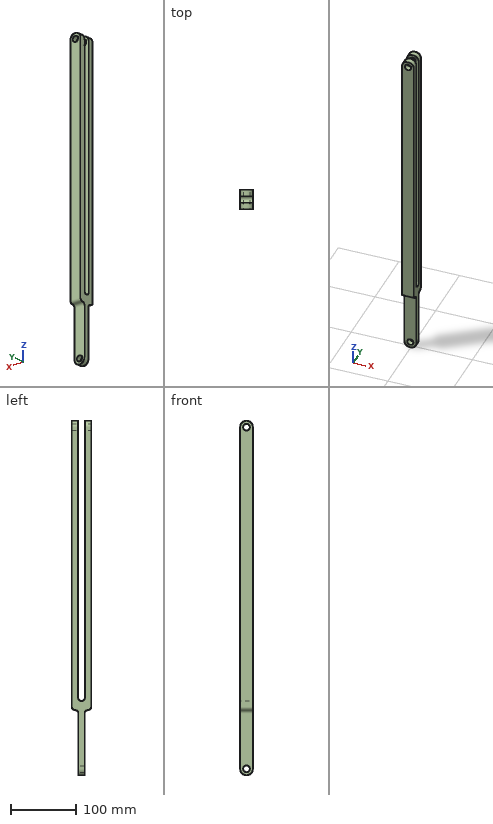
import cadquery as cq

width = 20.0
depth = 30.0
height = 544.26

tongue_thickness = 10.0
tongue_length = 100.0
slot_width = 10.0
slot_depth = 430.0
shoulder_radius = (depth - tongue_thickness) / 4

end_radius = width / 2
hole_diameter = 10.0
end_hole_heights = (end_radius, height - end_radius)


def side_profile_body():
    """Tongue widening through S-shaped shoulders into the fork body."""
    half_depth = depth / 2
    half_tongue = tongue_thickness / 2
    concave_start = tongue_length - shoulder_radius
    convex_end = tongue_length + shoulder_radius
    inflection = half_tongue + shoulder_radius
    return (
        cq.Workplane("YZ")
        .moveTo(-half_tongue, 0)
        .lineTo(half_tongue, 0)
        .lineTo(half_tongue, concave_start)
        .radiusArc((inflection, tongue_length), shoulder_radius)
        .radiusArc((half_depth, convex_end), -shoulder_radius)
        .lineTo(half_depth, height)
        .lineTo(-half_depth, height)
        .lineTo(-half_depth, convex_end)
        .radiusArc((-inflection, tongue_length), -shoulder_radius)
        .radiusArc((-half_tongue, concave_start), shoulder_radius)
        .close()
        .extrude(width / 2, both=True)
    )


def fork_slot():
    """Round-bottomed slot, open at the top, that separates the two arms."""
    half_slot = slot_width / 2
    arc_bottom = height - slot_depth
    arc_start = arc_bottom + half_slot
    return (
        cq.Workplane("YZ")
        .moveTo(-half_slot, height)
        .lineTo(-half_slot, arc_start)
        .threePointArc((0, arc_bottom), (half_slot, arc_start))
        .lineTo(half_slot, height)
        .close()
        .extrude(width / 2, both=True)
    )


def rounded_envelope():
    """Front outline with full-round ends."""
    return (
        cq.Workplane("XZ")
        .center(0, height / 2)
        .slot2D(height, width, 90)
        .extrude(depth / 2, both=True)
    )


def pin_holes():
    """Holes along Y, concentric with the rounded ends."""
    return (
        cq.Workplane("XZ")
        .pushPoints([(0, z) for z in end_hole_heights])
        .circle(hole_diameter / 2)
        .extrude(depth / 2, both=True)
    )


result = side_profile_body().cut(fork_slot()).intersect(rounded_envelope()).cut(pin_holes())